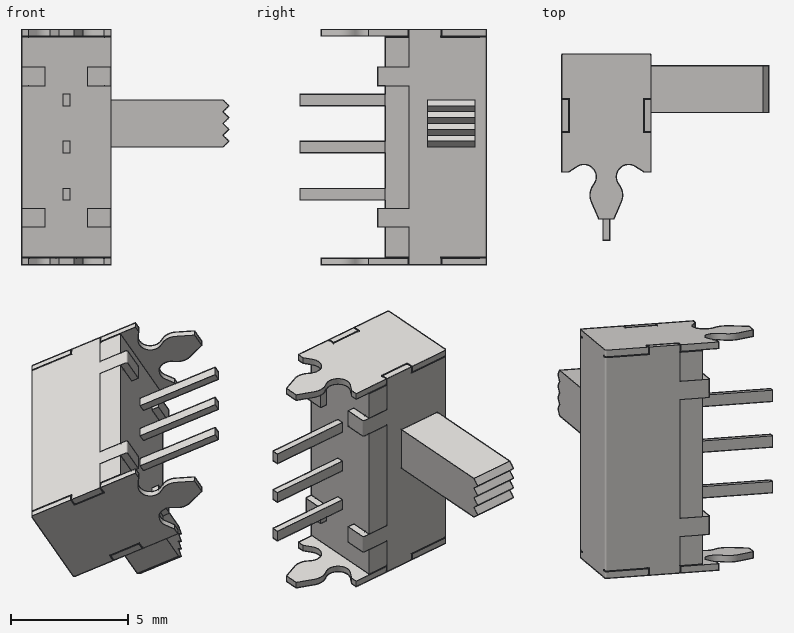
import cadquery as cq
import math


width = 3.8
height = 10.0
sheet = 0.29
seam = 0.04
bend_radius = 0.08
side_depth = 3.3
end_depth = 5.02
tongue_start = 1.94

base_depth = 4.3
half_width = width / 2
inner_half_width = half_width - sheet
panel_height = height - 2 * (sheet + seam)

hook_width = 0.8
hook_spacing = 6.0
hook_length = 1.0
hook_thickness = 0.32
hook_radius = 0.08
hook_depth = base_depth + hook_thickness

tab_depth = 7.02
tab_tip_half_width = 0.32
bulb_radius = 0.7
bulb_depth = 6.0
notch_radius = 0.52
notch_offset = 0.95
notch_depth = 5.22
shoulder_half_width = 1.6

pin_width = 0.3
pin_height = 0.5
pin_pitch = 2.0
pin_end_depth = 7.92
pin_rows = (-1, 0, 1)

slider_depth = 0.5
slider_size = 2.0
slider_reach = 5.0
slider_bottom = 0.0
tooth_count = 4
tooth_pitch = slider_size / tooth_count
tooth_height = tooth_pitch / 2


def block(x, y, z):
    """Box spanning the three given (low, high) ranges."""
    size = [high - low for low, high in (x, y, z)]
    return cq.Workplane("XY").box(*size, centered=False).translate((x[0], y[0], z[0]))


def cross_tangent(center_a, radius_a, center_b, radius_b, side):
    """Contact points of a line that crosses between two circles; radius 0 stands for a point."""
    dx = center_b[0] - center_a[0]
    dy = center_b[1] - center_a[1]
    angle = math.atan2(dy, dx) + side * math.acos((radius_a + radius_b) / math.hypot(dx, dy))
    ux, uy = math.cos(angle), math.sin(angle)
    contact_a = (center_a[0] + radius_a * ux, center_a[1] + radius_a * uy)
    contact_b = (center_b[0] - radius_b * ux, center_b[1] - radius_b * uy)
    return contact_a, contact_b


def end_panel_half():
    """+X half of an end panel, with the scalloped neck and bulb of its mounting tab."""
    shoulder = (shoulder_half_width, -end_depth)
    notch = (notch_offset, -notch_depth)
    bulb = (0, -bulb_depth)
    tip = (tab_tip_half_width, -tab_depth)

    notch_start = cross_tangent(notch, notch_radius, shoulder, 0, 1)[0]
    bulb_start, notch_end = cross_tangent(bulb, bulb_radius, notch, notch_radius, -1)
    bulb_end = cross_tangent(bulb, bulb_radius, tip, 0, 1)[0]

    diagonal = notch_radius * math.sqrt(0.5)
    notch_middle = (notch_offset - diagonal, -notch_depth + diagonal)
    bulb_middle = (bulb_radius, -bulb_depth)
    return (
        cq.Workplane("XY")
        .moveTo(0, 0)
        .lineTo(half_width, 0)
        .lineTo(half_width, -end_depth)
        .lineTo(*shoulder)
        .lineTo(*notch_start)
        .threePointArc(notch_middle, notch_end)
        .lineTo(*bulb_start)
        .threePointArc(bulb_middle, bulb_end)
        .lineTo(*tip)
        .lineTo(0, -tab_depth)
        .close()
        .extrude(sheet)
    )


def end_panel():
    """Top end panel, with a notch at each side for the side-panel tongues."""
    half = end_panel_half()
    panel = half.union(half.mirror("YZ"))
    notch = block(
        (inner_half_width - seam, half_width),
        (-side_depth - seam, -tongue_start + seam),
        (0, sheet),
    )
    panel = panel.cut(notch).cut(notch.mirror("YZ"))
    return panel.translate((0, 0, height / 2 - sheet))


def hook(z):
    """Strap on the +X side, folded inward over the pin face of the base."""
    z_range = (z - hook_width / 2, z + hook_width / 2)
    strap = block((inner_half_width, half_width), (-hook_depth, -side_depth), z_range)
    fold = block((half_width - hook_length, half_width), (-hook_depth, -base_depth), z_range)
    return strap.union(fold).edges("|Z and >X and <Y").fillet(hook_radius)


def side_panel():
    """+X side panel with its end tongues and crimp hooks."""
    x_range = (inner_half_width, half_width)
    panel = block(x_range, (-side_depth, 0), (-panel_height / 2, panel_height / 2))
    tongue = block(x_range, (-side_depth, -tongue_start), (-height / 2, height / 2))
    panel = panel.union(tongue)
    for sign in (-1, 1):
        panel = panel.union(hook(sign * hook_spacing / 2))
    return panel


def corner_slit():
    """Carries the seam above the +X side panel through the folded corner."""
    return block(
        (inner_half_width, half_width),
        (-sheet, 0),
        (panel_height / 2, panel_height / 2 + seam),
    )


def slider_blank():
    """Slider as a plain bar from the base to its outer end."""
    return block(
        (inner_half_width, half_width + slider_reach),
        (-slider_depth - slider_size, -slider_depth),
        (slider_bottom, slider_bottom + slider_size),
    )


def make_shell():
    shell = block((-half_width, half_width), (-sheet, 0), (-height / 2, height / 2))
    for panel in (end_panel(), end_panel().mirror("XY"), side_panel(), side_panel().mirror("YZ")):
        shell = shell.union(panel)
    shell = shell.edges("|Z and >Y").fillet(bend_radius)
    for slit in (corner_slit(), corner_slit().mirror("XY")):
        shell = shell.cut(slit).cut(slit.mirror("YZ"))
    return shell.cut(slider_blank())


def make_base():
    z_range = (-panel_height / 2, panel_height / 2)
    core = block((-inner_half_width, inner_half_width), (-side_depth, -sheet), z_range)
    flange = block((-half_width, half_width), (-base_depth, -side_depth), z_range)
    for sign in (-1, 1):
        recess = hook(sign * hook_spacing / 2)
        flange = flange.cut(recess).cut(recess.mirror("YZ"))
    base = core.union(flange)
    for row in pin_rows:
        z = row * pin_pitch
        pin = block(
            (-pin_width / 2, pin_width / 2),
            (-pin_end_depth, -base_depth),
            (z - pin_height / 2, z + pin_height / 2),
        )
        base = base.union(pin)
    return base


def make_slider():
    """Side slider whose outer end carries a row of V-shaped finger-grip teeth."""
    tip_x = half_width + slider_reach
    root_x = tip_x - tooth_height
    outline = [(inner_half_width, slider_bottom), (root_x, slider_bottom)]
    for tooth in range(tooth_count):
        z = slider_bottom + tooth * tooth_pitch
        outline.append((tip_x, z + tooth_pitch / 2))
        outline.append((root_x, z + tooth_pitch))
    outline.append((inner_half_width, slider_bottom + slider_size))
    profile = cq.Workplane("XZ", origin=(0, -slider_depth, 0)).polyline(outline).close()
    return profile.extrude(slider_size)


shell = make_shell()
base = make_base()
slider = make_slider()

result = cq.Compound.makeCompound([shell.val(), base.val(), slider.val()])